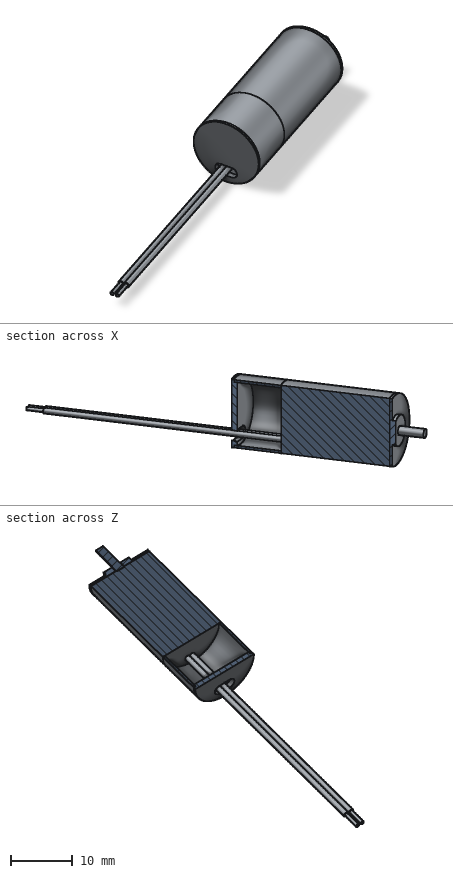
import cadquery as cq

OVERALL_LENGTH = 69.15

MOTOR_DIAMETER = 12.0
FRONT_PLATE_THICKNESS = 0.5
FRONT_SECTION_LENGTH = 18.9
REAR_SECTION_LENGTH = 8.15
REAR_RIM_THICKNESS = 0.4

TUBE_WALL = 0.5
TUBE_BORE = MOTOR_DIAMETER - 2 * TUBE_WALL
REAR_PLATE_THICKNESS = 1.0

BOSS_DIAMETER = 5.2
BOSS_HEIGHT = 0.6

SHAFT_DIAMETER = 1.5
SHAFT_PROTRUSION = 4.4

SLOT_LENGTH = 4.0
SLOT_WIDTH = 2.0
SLOT_Z = -3.7

WIRE_DIAMETER = 1.0
CORE_DIAMETER = 0.6
STRIPPED_LENGTH = 3.0
CABLE_X = -0.5
CABLE_Z = -3.9
WIRE_POSITIONS_X = [CABLE_X - WIRE_DIAMETER / 2, CABLE_X + WIRE_DIAMETER / 2]

SHAFT_TIP_Y = OVERALL_LENGTH / 2
BOSS_FACE_Y = SHAFT_TIP_Y - SHAFT_PROTRUSION
PLATE_FACE_Y = BOSS_FACE_Y - BOSS_HEIGHT
FRONT_SECTION_START_Y = PLATE_FACE_Y - FRONT_PLATE_THICKNESS
REAR_SECTION_START_Y = FRONT_SECTION_START_Y - FRONT_SECTION_LENGTH
REAR_RIM_START_Y = REAR_SECTION_START_Y - REAR_SECTION_LENGTH
REAR_FACE_Y = REAR_RIM_START_Y - REAR_RIM_THICKNESS
SPIGOT_START_Y = REAR_FACE_Y + REAR_PLATE_THICKNESS
WIRE_TIP_Y = -OVERALL_LENGTH / 2
INSULATION_END_Y = WIRE_TIP_Y + STRIPPED_LENGTH


def plane_at(y, x=0.0, z=0.0):
    """Workplane facing -Y with its origin at (x, y, z); its local axes are +X and +Z."""
    return cq.Workplane("XZ", origin=(x, y, z))


def rod(diameter, front_y, rear_y, x=0.0, z=0.0):
    """Cylinder parallel to Y, reaching from front_y back to rear_y."""
    return plane_at(front_y, x, z).circle(diameter / 2).extrude(front_y - rear_y)


def make_front_plate():
    """Front plate with its boss, bored through for the shaft."""
    plate = rod(MOTOR_DIAMETER, PLATE_FACE_Y, FRONT_SECTION_START_Y)
    boss = rod(BOSS_DIAMETER, BOSS_FACE_Y, PLATE_FACE_Y)
    bore = rod(SHAFT_DIAMETER, BOSS_FACE_Y, FRONT_SECTION_START_Y)
    return plate.union(boss).cut(bore)


def make_front_section():
    """Long cylindrical section behind the front plate."""
    return rod(MOTOR_DIAMETER, FRONT_SECTION_START_Y, REAR_SECTION_START_Y)


def make_rear_section():
    """Short tube between the front section and the rim of the rear plate."""
    tube = rod(MOTOR_DIAMETER, REAR_SECTION_START_Y, REAR_RIM_START_Y)
    return tube.cut(rod(TUBE_BORE, REAR_SECTION_START_Y, REAR_RIM_START_Y))


def make_rear_plate():
    """Rear plate with a spigot that fits the tube bore and a cable slot through both."""
    rim = rod(MOTOR_DIAMETER, REAR_RIM_START_Y, REAR_FACE_Y)
    spigot = rod(TUBE_BORE, SPIGOT_START_Y, REAR_RIM_START_Y)
    slot_plane = plane_at(SPIGOT_START_Y, z=SLOT_Z)
    slot = slot_plane.slot2D(SLOT_LENGTH, SLOT_WIDTH).extrude(REAR_PLATE_THICKNESS)
    return rim.union(spigot).cut(slot)


def make_shaft():
    """Plain output shaft seated in the bore of the front plate."""
    return rod(SHAFT_DIAMETER, SHAFT_TIP_Y, FRONT_SECTION_START_Y)


def make_wire(x):
    """Insulated wire with a thinner stripped end, running through the tube from the front section."""
    insulated = rod(WIRE_DIAMETER, REAR_SECTION_START_Y, INSULATION_END_Y, x, CABLE_Z)
    stripped = rod(CORE_DIAMETER, INSULATION_END_Y, WIRE_TIP_Y, x, CABLE_Z)
    return insulated.union(stripped)


front_plate = make_front_plate()
front_section = make_front_section()
rear_section = make_rear_section()
rear_plate = make_rear_plate()
shaft = make_shaft()
wires = [make_wire(x) for x in WIRE_POSITIONS_X]

result = cq.Compound.makeCompound([
    front_plate.val(),
    front_section.val(),
    rear_section.val(),
    rear_plate.val(),
    shaft.val(),
    *[wire.val() for wire in wires],
])